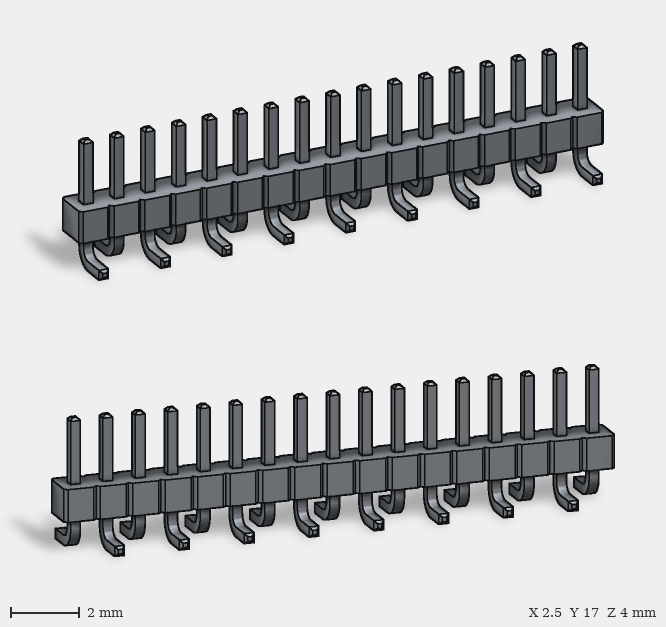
import cadquery as cq

pin_count = 17
header_length = 17.0
foot_span = 2.5
total_height = 4.0
housing_width = 1.25
housing_corner_cut = 0.1
pin_side = 0.3
bend_inner_radius = 0.3
tip_length = 0.08
tip_inset = 0.08

pitch = header_length / pin_count
housing_bottom = pitch
housing_height = total_height / 2 - housing_bottom
half_pin = pin_side / 2
bend_outer_radius = bend_inner_radius + pin_side
bend_center_x = half_pin + bend_inner_radius
foot_tip_x = foot_span / 2


def housing_cell(y):
    """One housing block; its chamfered corners form the V notches between cells."""
    return (
        cq.Workplane("XY")
        .box(housing_width, pitch, housing_height, centered=(True, True, False))
        .edges("|Z")
        .chamfer(housing_corner_cut)
        .translate((0, y, housing_bottom))
    )


def taper_end(wire, face):
    """Narrow the square end of the wire on all four sides."""
    return wire.faces(face).chamfer(tip_length, tip_inset)


def bent_pin(y, side):
    """Upright square pin with a foot bent towards +X (side = 1) or -X (side = -1)."""
    pin = (
        cq.Workplane("XZ")
        .moveTo(-half_pin, total_height)
        .lineTo(-half_pin, bend_outer_radius)
        .radiusArc((bend_center_x, 0), -bend_outer_radius)
        .lineTo(foot_tip_x, 0)
        .lineTo(foot_tip_x, pin_side)
        .lineTo(bend_center_x, pin_side)
        .radiusArc((half_pin, bend_outer_radius), bend_inner_radius)
        .lineTo(half_pin, total_height)
        .close()
        .extrude(half_pin, both=True)
    )
    pin = taper_end(pin, ">Z")
    pin = taper_end(pin, ">X")
    if side < 0:
        pin = pin.rotate((0, 0, 0), (0, 0, 1), 180)
    return pin.translate((0, y, 0))


result = cq.Workplane("XY")
for index in range(pin_count):
    cell_y = (index - (pin_count - 1) / 2) * pitch
    foot_side = 1 if index % 2 == 0 else -1
    result = result.union(housing_cell(cell_y)).union(bent_pin(cell_y, foot_side))
result = result.clean()